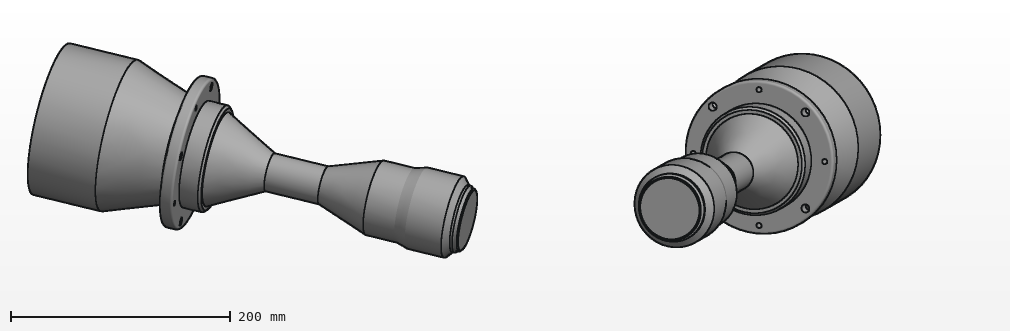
import cadquery as cq
import math

LENGTH = 398.0
DRUM_END = 65.0
NECK_START = 121.5
FLANGE_START = 125.7
FLANGE_END = 138.0
HUB_END = 158.5
PIPE_START = 209.0
PIPE_END = 260.2
SLEEVE_START = 309.0
SLEEVE_END = 339.0
HEAD_START = 350.0
HEAD_END = 384.8
COLLAR_START = 390.7
NOSE_START = 393.0

DRUM_RADIUS = 71.03
FLANGE_RADIUS = DRUM_RADIUS
NECK_RADIUS = 51.0
HUB_RADIUS = 50.0
HUB_CONE_RADIUS = 44.0
PIPE_RADIUS = 18.0
SLEEVE_RADIUS = 35.0
HEAD_RADIUS = 38.0
COLLAR_RADIUS = 31.5
NOSE_RADIUS = 29.5

NECK_FILLET = 3.0
RIM_FILLET = 2.5
HUB_CHAMFER = 2.5
NOSE_FILLET = 1.0
NOSE_CHAMFER = 1.0

HOLE_CIRCLE_RADIUS = 63.0
LARGE_HOLE_DIAMETER = 7.5
SMALL_HOLE_DIAMETER = 4.8
HOLE_COUNT = 4


def make_body():
    """Revolve the stepped and tapered half profile about the X axis."""
    arc_depth = 1 - math.sqrt(0.5)
    neck_offset = NECK_FILLET * arc_depth
    rim_offset = RIM_FILLET * arc_depth
    nose_offset = NOSE_FILLET * arc_depth
    profile = (
        cq.Workplane("XY")
        .lineTo(0, DRUM_RADIUS)
        .lineTo(DRUM_END, DRUM_RADIUS)
        .lineTo(NECK_START, NECK_RADIUS)
        .lineTo(FLANGE_START - NECK_FILLET, NECK_RADIUS)
        .threePointArc(
            (FLANGE_START - neck_offset, NECK_RADIUS + neck_offset),
            (FLANGE_START, NECK_RADIUS + NECK_FILLET),
        )
        .lineTo(FLANGE_START, FLANGE_RADIUS - RIM_FILLET)
        .threePointArc(
            (FLANGE_START + rim_offset, FLANGE_RADIUS - rim_offset),
            (FLANGE_START + RIM_FILLET, FLANGE_RADIUS),
        )
        .lineTo(FLANGE_END - RIM_FILLET, FLANGE_RADIUS)
        .threePointArc(
            (FLANGE_END - rim_offset, FLANGE_RADIUS - rim_offset),
            (FLANGE_END, FLANGE_RADIUS - RIM_FILLET),
        )
        .lineTo(FLANGE_END, HUB_RADIUS)
        .lineTo(HUB_END - HUB_CHAMFER, HUB_RADIUS)
        .lineTo(HUB_END, HUB_RADIUS - HUB_CHAMFER)
        .lineTo(HUB_END, HUB_CONE_RADIUS)
        .lineTo(PIPE_START, PIPE_RADIUS)
        .lineTo(PIPE_END, PIPE_RADIUS)
        .lineTo(SLEEVE_START, SLEEVE_RADIUS)
        .lineTo(SLEEVE_END, SLEEVE_RADIUS)
        .lineTo(HEAD_START, HEAD_RADIUS)
        .lineTo(HEAD_END, HEAD_RADIUS)
        .lineTo(COLLAR_START, COLLAR_RADIUS)
        .lineTo(NOSE_START, COLLAR_RADIUS)
        .lineTo(NOSE_START, NOSE_RADIUS + NOSE_FILLET)
        .threePointArc(
            (NOSE_START + nose_offset, NOSE_RADIUS + nose_offset),
            (NOSE_START + NOSE_FILLET, NOSE_RADIUS),
        )
        .lineTo(LENGTH - NOSE_CHAMFER, NOSE_RADIUS)
        .lineTo(LENGTH, NOSE_RADIUS - NOSE_CHAMFER)
        .lineTo(LENGTH, 0)
        .close()
    )
    return profile.revolve(360, (0, 0, 0), (1, 0, 0))


def make_flange_holes(diameter, start_angle):
    """Drill cylinders through the flange, evenly spaced on the hole circle."""
    return (
        cq.Workplane("YZ", origin=(FLANGE_START, 0, 0))
        .polarArray(HOLE_CIRCLE_RADIUS, start_angle, 360, HOLE_COUNT)
        .circle(diameter / 2)
        .extrude(FLANGE_END - FLANGE_START)
    )


result = (
    make_body()
    .cut(make_flange_holes(LARGE_HOLE_DIAMETER, 45))
    .cut(make_flange_holes(SMALL_HOLE_DIAMETER, 0))
)